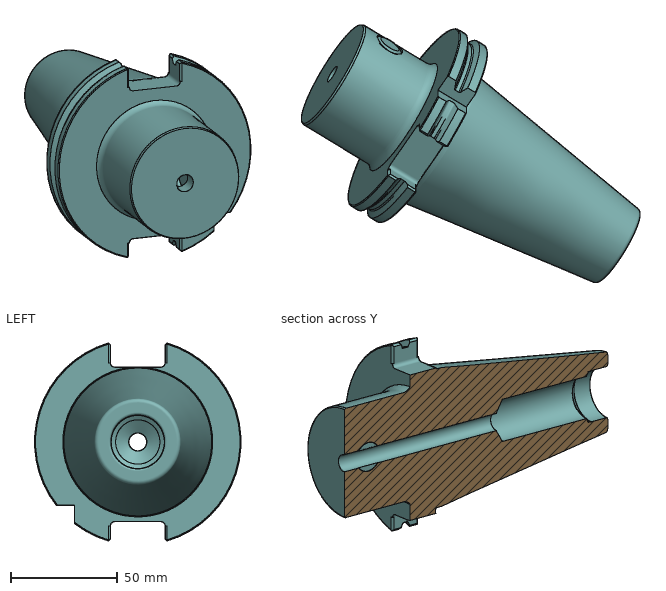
import cadquery as cq
import math

TOTAL_LENGTH = 160.7
GAUGE_X = 101.4
FLANGE_X = 104.8
FLANGE_WIDTH = 15.9
FLANGE_END_X = FLANGE_X + FLANGE_WIDTH

GAUGE_RADIUS = 34.9
ROOT_CHAMFER = 0.5
TAPER_SLOPE = 7 / 48
SMALL_END_RADIUS = GAUGE_RADIUS - TAPER_SLOPE * GAUGE_X
SMALL_END_FILLET = 2.0

FLANGE_RADIUS = 48.7
FLANGE_CHAMFER = 0.5
GROOVE_CENTRE_X = 112.8
GROOVE_DEPTH = 3.2
GROOVE_FLOOR_WIDTH = 2.9
GROOVE_FILLET = 0.8
GROOVE_FLANK_ANGLE = 30
GROOVE_MOUTH_WIDTH = GROOVE_FLOOR_WIDTH + 2 * GROOVE_DEPTH * math.tan(math.radians(GROOVE_FLANK_ANGLE))

SLOT_WIDTH = 25.7
UPPER_SLOT_FLOOR = 35.4
LOWER_SLOT_FLOOR = 37.6
SLOT_CORNER_RADIUS = 2.0
SLOT_CHAMFER = 1.0
NOTCH_OFFSET = 29.9

NOSE_RADIUS = 27.5
NECK_LENGTH = 3.9
NECK_RISE = 2.0
NOSE_CHAMFER_AXIAL = 1.0
NOSE_CHAMFER_RADIAL = 0.5

MOUTH_ROUNDING = 1.1
PILOT_RADIUS = 12.7
PILOT_DEPTH = 10.3
RELIEF_RADIUS = 12.5
RELIEF_START = 10.6
RELIEF_END = 11.9
THREAD_RADIUS = 10.5
THREAD_DEPTH = 64.3
COOLANT_RADIUS = 4.2
CONE_ANGLE = 59
CONE_LENGTH = (THREAD_RADIUS - COOLANT_RADIUS) / math.tan(math.radians(CONE_ANGLE))
THREAD_ENTRY_ANGLE = 60
THREAD_START = RELIEF_END + (RELIEF_RADIUS - THREAD_RADIUS) / math.tan(math.radians(THREAD_ENTRY_ANGLE))

SCREW_X = 146.0
SCREW_RADIUS = 7.0
SCREW_TIP_Y = 4.8
SCREW_HEAD_Y = 27.5
SCREW_CHAMFER_HEIGHT = 1.0
SCREW_CHAMFER_WIDTH = 2.0


def outer_body():
    """Taper, flange and nose turned in one profile around the X axis."""
    neck_radius = (NECK_LENGTH**2 + NECK_RISE**2) / (2 * NECK_RISE)
    half_mouth = GROOVE_MOUTH_WIDTH / 2
    half_floor = GROOVE_FLOOR_WIDTH / 2
    groove_radius = FLANGE_RADIUS - GROOVE_DEPTH
    chamfer_radius = FLANGE_RADIUS - FLANGE_CHAMFER
    neck_sweep = math.asin(NECK_LENGTH / neck_radius) / 2
    neck_middle = (
        FLANGE_END_X + NECK_LENGTH - neck_radius * math.sin(neck_sweep),
        NOSE_RADIUS + neck_radius * (1 - math.cos(neck_sweep)),
    )
    profile = (
        cq.Workplane("XY")
        .lineTo(0, SMALL_END_RADIUS)
        .lineTo(GAUGE_X, GAUGE_RADIUS)
        .lineTo(FLANGE_X - ROOT_CHAMFER, GAUGE_RADIUS)
        .lineTo(FLANGE_X, GAUGE_RADIUS + ROOT_CHAMFER)
        .lineTo(FLANGE_X, chamfer_radius)
        .lineTo(FLANGE_X + FLANGE_CHAMFER, FLANGE_RADIUS)
        .lineTo(GROOVE_CENTRE_X - half_mouth, FLANGE_RADIUS)
        .lineTo(GROOVE_CENTRE_X - half_floor, groove_radius)
        .lineTo(GROOVE_CENTRE_X + half_floor, groove_radius)
        .lineTo(GROOVE_CENTRE_X + half_mouth, FLANGE_RADIUS)
        .lineTo(FLANGE_END_X - FLANGE_CHAMFER, FLANGE_RADIUS)
        .lineTo(FLANGE_END_X, chamfer_radius)
        .lineTo(FLANGE_END_X, NOSE_RADIUS + NECK_RISE)
        .threePointArc(neck_middle, (FLANGE_END_X + NECK_LENGTH, NOSE_RADIUS))
        .lineTo(TOTAL_LENGTH - NOSE_CHAMFER_AXIAL, NOSE_RADIUS)
        .lineTo(TOTAL_LENGTH, NOSE_RADIUS - NOSE_CHAMFER_RADIAL)
        .lineTo(TOTAL_LENGTH, 0)
        .close()
    )
    body = profile.revolve(360, (0, 0, 0), (1, 0, 0))
    reach = groove_radius + GROOVE_FILLET
    groove_floor_edges = cq.selectors.BoxSelector(
        (GROOVE_CENTRE_X - half_mouth, -reach, -reach),
        (GROOVE_CENTRE_X + half_mouth, reach, reach),
        boundingbox=True,
    )
    body = body.edges(groove_floor_edges).fillet(GROOVE_FILLET)
    return body.faces("<X").edges().fillet(SMALL_END_FILLET)


def stepped_bore():
    """Pilot bore, threaded bore with drilled cone, and coolant hole through to the nose."""
    profile = (
        cq.Workplane("XY")
        .lineTo(0, PILOT_RADIUS + MOUTH_ROUNDING)
        .radiusArc((MOUTH_ROUNDING, PILOT_RADIUS), -MOUTH_ROUNDING)
        .lineTo(PILOT_DEPTH, PILOT_RADIUS)
        .lineTo(RELIEF_START, RELIEF_RADIUS)
        .lineTo(RELIEF_END, RELIEF_RADIUS)
        .lineTo(THREAD_START, THREAD_RADIUS)
        .lineTo(THREAD_DEPTH, THREAD_RADIUS)
        .lineTo(THREAD_DEPTH + CONE_LENGTH, COOLANT_RADIUS)
        .lineTo(TOTAL_LENGTH, COOLANT_RADIUS)
        .lineTo(TOTAL_LENGTH, 0)
        .close()
    )
    return profile.revolve(360, (0, 0, 0), (1, 0, 0))


def drive_slot(floor, side):
    """Slot across the flange; side is +1 for the top and -1 for the bottom."""
    height = FLANGE_RADIUS - floor
    slot = (
        cq.Workplane("XY")
        .box(FLANGE_WIDTH, SLOT_WIDTH, height, centered=(False, True, False))
        .edges("|X and <Z")
        .fillet(SLOT_CORNER_RADIUS)
        .translate((FLANGE_X, 0, floor))
    )
    return slot if side > 0 else slot.rotate((0, 0, 0), (1, 0, 0), 180)


def slot_chamfers(floor, side):
    """Wedges that bevel the slot walls at both flange faces and at the rim."""
    height = FLANGE_RADIUS - floor
    half = SLOT_WIDTH / 2
    wide = half + SLOT_CHAMFER
    end = FLANGE_END_X
    face_bevel = (
        cq.Workplane("XY", origin=(0, 0, floor + SLOT_CORNER_RADIUS))
        .polyline([
            (FLANGE_X, -wide),
            (FLANGE_X + SLOT_CHAMFER, -half),
            (end - SLOT_CHAMFER, -half),
            (end, -wide),
            (end, wide),
            (end - SLOT_CHAMFER, half),
            (FLANGE_X + SLOT_CHAMFER, half),
            (FLANGE_X, wide),
        ])
        .close()
        .extrude(height)
    )
    rim_height = math.sqrt(FLANGE_RADIUS**2 - wide**2)
    rim_bevel = (
        cq.Workplane("YZ", origin=(FLANGE_X, 0, 0))
        .polyline([
            (-half, rim_height - SLOT_CHAMFER),
            (half, rim_height - SLOT_CHAMFER),
            (wide, rim_height),
            (wide, FLANGE_RADIUS),
            (-wide, FLANGE_RADIUS),
            (-wide, rim_height),
        ])
        .close()
        .extrude(FLANGE_WIDTH)
    )
    bevels = face_bevel.union(rim_bevel)
    return bevels if side > 0 else bevels.rotate((0, 0, 0), (1, 0, 0), 180)


def orientation_notch():
    """Square notch through the flange in its +Y, -Z quarter."""
    size = FLANGE_RADIUS - NOTCH_OFFSET
    return (
        cq.Workplane("XY")
        .box(FLANGE_WIDTH, size, size, centered=False)
        .translate((FLANGE_X, NOTCH_OFFSET, -FLANGE_RADIUS))
    )


def radial_cylinder(start_y, end_y):
    """Cylinder along +Y at the screw position."""
    return (
        cq.Workplane("XZ", origin=(SCREW_X, start_y, 0))
        .circle(SCREW_RADIUS)
        .extrude(start_y - end_y)
    )


def build_holder():
    """Holder with its bore, drive slots, notch and the hole for the clamping screw."""
    holder = outer_body().cut(stepped_bore())
    for floor, side in ((UPPER_SLOT_FLOOR, 1), (LOWER_SLOT_FLOOR, -1)):
        holder = holder.cut(drive_slot(floor, side))
        holder = holder.cut(slot_chamfers(floor, side))
    holder = holder.cut(orientation_notch())
    return holder.cut(radial_cylinder(0, NOSE_RADIUS))


def build_clamping_screw():
    """Set screw with a flat, chamfered outer end."""
    screw = radial_cylinder(SCREW_TIP_Y, SCREW_HEAD_Y)
    return screw.faces(">Y").chamfer(SCREW_CHAMFER_HEIGHT, SCREW_CHAMFER_WIDTH)


holder = build_holder()
clamping_screw = build_clamping_screw()
result = cq.Compound.makeCompound([holder.val(), clamping_screw.val()])